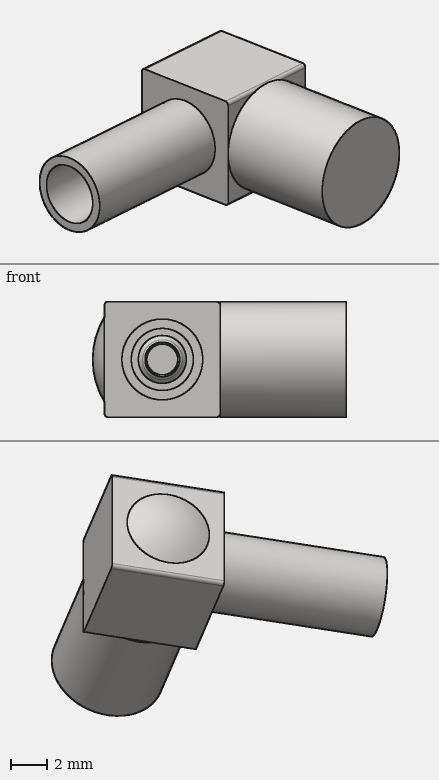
import cadquery as cq
import math

body_size = 6.35
body_edge_radius = 0.2
half_body = body_size / 2

barrel_diameter = body_size
barrel_length = 6.93

dome_diameter = 4.66
dome_height = 0.65

tube_diameter = 4.44
tube_bore_diameter = 3.4
tube_length = 9.5

contact_base_diameter = 2.63
contact_shoulder_diameter = 2.19
contact_rim_diameter = 1.9
contact_cup_floor_diameter = 1.7
contact_base_height = 0.29
contact_tip_height = 0.13
contact_cup_depth = 0.16


def make_body():
    """Cube with its four edges along Y rounded."""
    cube = cq.Workplane("XY").box(body_size, body_size, body_size)
    return cube.edges("|Y").fillet(body_edge_radius)


def make_barrel():
    face = cq.Workplane("YZ").workplane(offset=half_body)
    return face.circle(barrel_diameter / 2).extrude(barrel_length)


def make_dome():
    """Spherical cap, with a profile in the XY plane revolved about the X axis."""
    dome_radius = dome_diameter / 2
    sphere_radius = (dome_radius**2 + dome_height**2) / (2 * dome_height)
    half_angle = math.asin(dome_radius / sphere_radius) / 2
    sphere_center_x = sphere_radius - half_body - dome_height
    arc_middle = (
        sphere_center_x - sphere_radius * math.cos(half_angle),
        sphere_radius * math.sin(half_angle),
    )
    return (
        cq.Workplane("XY")
        .moveTo(-half_body, 0)
        .lineTo(-half_body, dome_radius)
        .threePointArc(arc_middle, (-half_body - dome_height, 0))
        .close()
        .revolve(360, (0, 0, 0), (1, 0, 0))
    )


def make_tube():
    face = cq.Workplane("XZ").workplane(offset=half_body)
    return face.circle(tube_diameter / 2).circle(tube_bore_diameter / 2).extrude(tube_length)


def make_contact():
    """Coned contact, with a profile in the XY plane revolved about the Y axis."""
    shoulder_y = -half_body - contact_base_height
    rim_y = shoulder_y - contact_tip_height
    cup_floor_y = rim_y + contact_cup_depth
    return (
        cq.Workplane("XY")
        .moveTo(0, -half_body)
        .lineTo(contact_base_diameter / 2, -half_body)
        .lineTo(contact_shoulder_diameter / 2, shoulder_y)
        .lineTo(contact_rim_diameter / 2, rim_y)
        .lineTo(contact_cup_floor_diameter / 2, cup_floor_y)
        .lineTo(0, cup_floor_y)
        .close()
        .revolve(360, (0, 0, 0), (0, 1, 0))
    )


result = make_body().union(make_barrel()).union(make_dome()).union(make_tube()).union(make_contact())